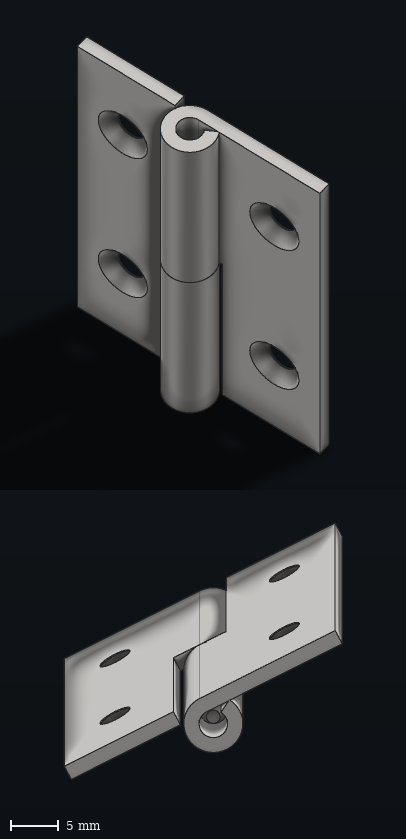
import cadquery as cq
import math

height = 45.0
width = 32.0
knuckle_diameter = 6.2
thickness = 1.6

outer_radius = knuckle_diameter / 2
bore_radius = outer_radius - thickness
curl_end_angle = 30.0

hole_spacing_x = 20.0
hole_spacing_z = 24.0
hole_diameter = 3.5
countersink_diameter = 6.5
countersink_angle = 90.0

pin_recess = 3.0
pin_tip_radius = 0.7
pin_taper_length = 2.9


def polar(radius, degrees):
    """Point at the given radius and angle around the pin axis."""
    angle = math.radians(degrees)
    return (radius * math.cos(angle), radius * math.sin(angle))


def make_right_leaf():
    """Leaf on the +X side, whose knuckle fills the upper half of the hinge."""
    half_width = width / 2
    half_height = height / 2

    plate = (
        cq.Workplane("XY")
        .box(half_width - outer_radius, thickness, height, centered=False)
        .translate((outer_radius, bore_radius, -half_height))
    )

    root = (
        cq.Workplane("XY")
        .box(half_width, thickness, half_height, centered=False)
        .translate((0, bore_radius, 0))
    )

    roll_middle_angle = (90 + 360 + curl_end_angle) / 2
    roll = (
        cq.Workplane("XY")
        .moveTo(*polar(outer_radius, 90))
        .threePointArc(polar(outer_radius, roll_middle_angle), polar(outer_radius, curl_end_angle))
        .lineTo(*polar(bore_radius, curl_end_angle))
        .threePointArc(polar(bore_radius, roll_middle_angle), polar(bore_radius, 90))
        .close()
        .extrude(half_height)
    )

    leaf = plate.union(root).union(roll)
    holes = [(hole_spacing_x / 2, side * hole_spacing_z / 2) for side in (-1, 1)]
    return (
        leaf.copyWorkplane(cq.Workplane("XZ", origin=(0, bore_radius, 0)))
        .pushPoints(holes)
        .cskHole(hole_diameter, countersink_diameter, countersink_angle)
    )


def make_pin():
    """Pin filling the bore, tapered to a flat tip at both ends."""
    tip_z = height / 2 - pin_recess
    shoulder_z = tip_z - pin_taper_length
    return (
        cq.Workplane("XZ")
        .moveTo(0, -tip_z)
        .lineTo(pin_tip_radius, -tip_z)
        .lineTo(bore_radius, -shoulder_z)
        .lineTo(bore_radius, shoulder_z)
        .lineTo(pin_tip_radius, tip_z)
        .lineTo(0, tip_z)
        .close()
        .revolve(360, (0, 0, 0), (0, 1, 0))
    )


leaves = [
    make_right_leaf().rotate((0, 0, 0), (0, 1, 0), turn)
    for turn in (0, 180)
]
pin = make_pin()

result = cq.Compound.makeCompound([*[leaf.val() for leaf in leaves], pin.val()])